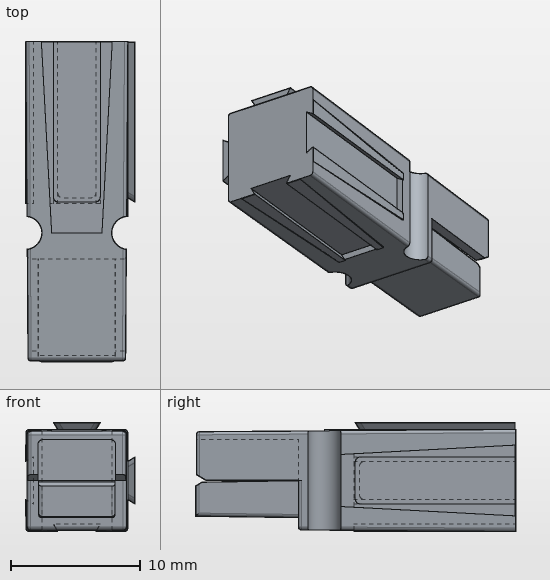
import cadquery as cq
import math

length = 24.71
rear_half = 3.93
front_half = 3.77
end_relief = 0.06
edge_radius = 0.25

step_y = -16.78
wall_top = 3.16
mouth_half_width = 3.0
mouth_corner_radius = 0.4
hood_lead_length = 0.77
hood_lead_height = 0.46

jaw_half_width = 2.95
jaw_tip_top = -0.13
jaw_root_bottom = -2.87
jaw_tip_bottom = -2.76
jaw_lead_length = 0.48
jaw_lead_height = 0.3
jaw_root_overlap = 1.0

notch_y = -14.77
notch_radius = 1.27
notch_offset = 3.97

pad_level = 3.94
pad_depth = 0.5
pad_rear_half = 2.73
pad_notch_half = 1.94
groove_end_y = -12.5
dovetail_half = 1.48
dovetail_flare = 0.33
tongue_height = 0.53
tongue_base_end_y = -12.07
tongue_corner_radius = 0.5
groove_depth = 0.6

TOP, RIGHT, BOTTOM, LEFT = 0, 90, 180, 270


def turned(shape, angle):
    """Rotate a +Z side feature about the Y axis."""
    return shape.rotate((0, 0, 0), (0, 1, 0), angle)


box_pick = cq.selectors.BoxSelector


def make_body():
    """Drafted square bar, stepped below mid height and rounded outside."""
    hood_length = length - end_relief
    draft = math.degrees(math.atan((rear_half - front_half) / hood_length))
    bar = cq.Workplane("XZ").rect(2 * rear_half, 2 * rear_half).extrude(hood_length, taper=draft)
    step = cq.Workplane("XZ", origin=(0, step_y, -rear_half)).rect(4 * rear_half, 2 * rear_half).extrude(length)
    body = bar.cut(step)
    near = front_half - edge_radius
    hood_end = box_pick((-length, -length, edge_radius), (length, edge_radius - length, length))
    step_end = box_pick(
        (-length, step_y - edge_radius, -length),
        (length, step_y + edge_radius, -edge_radius),
    )
    outer_edges = hood_end + step_end
    for x in (-1, 1):
        for z in (-1, 1):
            outer_edges += box_pick((x * near, -length, z * near), (x * length, -end_relief, z * length))
    return body.edges(outer_edges).fillet(edge_radius)


def make_hood_mouth():
    """Opening between the hood walls, ending at the step."""
    depth = length + step_y
    return (
        cq.Workplane("XZ", origin=(0, step_y, 0))
        .rect(2 * mouth_half_width, 2 * wall_top)
        .extrude(depth)
        .edges("|Y")
        .fillet(mouth_corner_radius)
    )


def make_hood_lead():
    """Wedge that bevels the lower front corners of the hood walls."""
    tip_y = end_relief - length
    return (
        cq.Workplane("YZ")
        .polyline([(tip_y + hood_lead_length, 0), (tip_y, 0), (tip_y, hood_lead_height)])
        .close()
        .extrude(2 * rear_half, both=True)
    )


def make_jaw():
    """Lower jaw with a bevelled nose and rounded sides and bottom."""
    root_y = step_y + jaw_root_overlap
    profile = [
        (root_y, 0),
        (step_y, 0),
        (-length, jaw_tip_top),
        (-length, jaw_tip_bottom),
        (step_y, jaw_root_bottom),
        (root_y, jaw_root_bottom),
    ]
    jaw = cq.Workplane("YZ").polyline(profile).close().extrude(jaw_half_width, both=True)
    lower_sides = jaw.faces("<Z").edges("not |X")
    jaw = lower_sides.add(jaw.faces("<Y").edges("|Z")).fillet(edge_radius)
    nose = (
        cq.Workplane("YZ")
        .polyline([
            (jaw_lead_length - length, jaw_tip_top),
            (jaw_lead_length - length, 0),
            (-length, 0),
            (-length, jaw_tip_top - jaw_lead_height),
        ])
        .close()
        .extrude(2 * jaw_half_width, both=True)
    )
    return jaw.cut(nose)


def make_notches():
    """Half-round notches through the height on both sides."""
    centres = [(-notch_offset, notch_y), (notch_offset, notch_y)]
    return cq.Workplane("XY").pushPoints(centres).circle(notch_radius).extrude(2 * rear_half, both=True)


def make_pad(end_y):
    """Flat pad on +Z that narrows away from the wire end."""
    end_half = pad_rear_half + (pad_notch_half - pad_rear_half) * end_y / notch_y
    return (
        cq.Workplane("XY", origin=(0, 0, pad_level))
        .polyline([
            (-pad_rear_half, -end_relief),
            (pad_rear_half, -end_relief),
            (end_half, end_y),
            (-end_half, end_y),
        ])
        .close()
        .extrude(-pad_depth)
    )


def dovetail_outline(start_y, height):
    """Dovetail cross-section on +Z that flares over a height, which is negative going inwards."""
    flared_half = dovetail_half + dovetail_flare
    return (
        cq.Workplane("XZ", origin=(0, start_y, 0))
        .polyline([
            (-dovetail_half, pad_level),
            (dovetail_half, pad_level),
            (flared_half, pad_level + height),
            (-flared_half, pad_level + height),
        ])
        .close()
    )


def make_tongue():
    """Dovetail tongue on +Z, flared along both sides and at its blind end."""
    top_level = pad_level + tongue_height
    side_profile = [
        (0, pad_level),
        (tongue_base_end_y, pad_level),
        (tongue_base_end_y - dovetail_flare, top_level),
        (0, top_level),
    ]
    end_trim = cq.Workplane("YZ").polyline(side_profile).close().extrude(2 * dovetail_half, both=True)
    tongue = dovetail_outline(-end_relief, tongue_height).extrude(length).intersect(end_trim)
    blind_corners = tongue.faces("<Y").edges("not |X")
    return blind_corners.fillet(tongue_corner_radius)


def make_groove():
    """Dovetail groove in the +Z side, open at the wire end."""
    return dovetail_outline(0, -groove_depth).extrude(-groove_end_y)


result = make_body().cut(make_hood_mouth()).cut(make_hood_lead()).union(make_jaw())

for side in (TOP, RIGHT):
    result = result.union(turned(make_pad(notch_y), side))
for side in (BOTTOM, LEFT):
    result = result.union(turned(make_pad(groove_end_y), side))
    result = result.cut(turned(make_groove(), side))

result = result.cut(make_notches())

for side in (TOP, RIGHT):
    result = result.union(turned(make_tongue(), side))